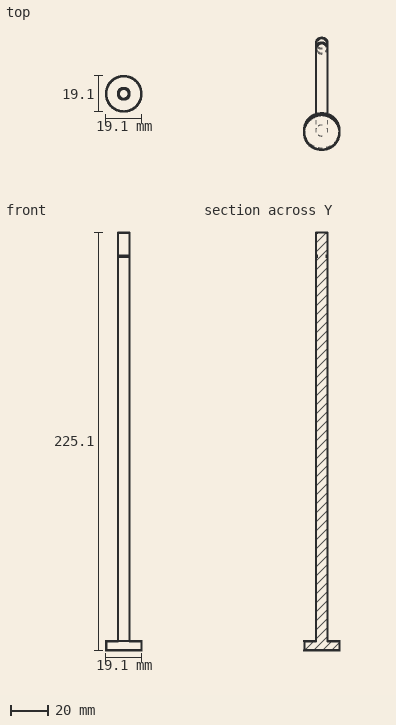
import cadquery as cq

total_height = 225.1
flange_diameter = 19.1
flange_thickness = 5.0

rod_diameter = 6.3
tip_length = 12.5
tip_chamfer = 0.5
groove_diameter = rod_diameter - 2 * tip_chamfer
groove_width = 0.7


def cylinder(diameter, bottom, height):
    """Upright cylinder on the Z axis, starting at the given height."""
    return cq.Workplane("XY").workplane(offset=bottom).circle(diameter / 2).extrude(height)


flange = cylinder(flange_diameter, 0, flange_thickness)
rod = cylinder(rod_diameter, 0, total_height).faces(">Z").chamfer(tip_chamfer)

groove_bottom = total_height - tip_length - groove_width
groove_ring = cylinder(rod_diameter, groove_bottom, groove_width).cut(
    cylinder(groove_diameter, groove_bottom, groove_width)
)

result = flange.union(rod).cut(groove_ring)